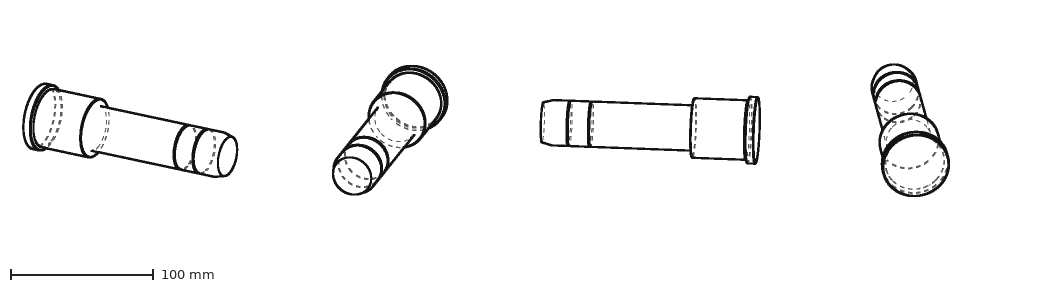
import cadquery as cq
import math

length = 151.0
head_diameter = 47.0
collar_diameter = 42.0
shaft_diameter = 32.0

head_length = 6.0
collar_end = 45.0
nose_length = 7.1
nose_angle = 15

chamfer = 0.5
root_radius = 0.6

groove_radius = 0.5
shaft_groove_centers = (117.0, 132.1)
relief_center = head_length + groove_radius

head_radius = head_diameter / 2
collar_radius = collar_diameter / 2
shaft_radius = shaft_diameter / 2
nose_start = length - nose_length
tip_radius = shaft_radius - nose_length * math.tan(math.radians(nose_angle))


def pin_body():
    """Solid turned about the X axis, without its grooves."""
    return (
        cq.Workplane("XY")
        .moveTo(0, 0)
        .lineTo(0, head_radius - chamfer)
        .lineTo(chamfer, head_radius)
        .lineTo(head_length - chamfer, head_radius)
        .lineTo(head_length, head_radius - chamfer)
        .lineTo(head_length, collar_radius)
        .lineTo(collar_end - chamfer, collar_radius)
        .lineTo(collar_end, collar_radius - chamfer)
        .lineTo(collar_end, shaft_radius + root_radius)
        .radiusArc((collar_end + root_radius, shaft_radius), -root_radius)
        .lineTo(nose_start, shaft_radius)
        .lineTo(length, tip_radius)
        .lineTo(length, 0)
        .close()
        .revolve(360, (0, 0, 0), (1, 0, 0))
    )


def groove_ring(center, surface_radius):
    """Ring of round section that cuts a half-round groove into a cylinder."""
    ring = cq.Solid.makeTorus(surface_radius, groove_radius, cq.Vector(center, 0, 0), cq.Vector(1, 0, 0))
    return cq.Workplane(ring)


result = pin_body().cut(groove_ring(relief_center, collar_radius))
for groove_center in shaft_groove_centers:
    result = result.cut(groove_ring(groove_center, shaft_radius))